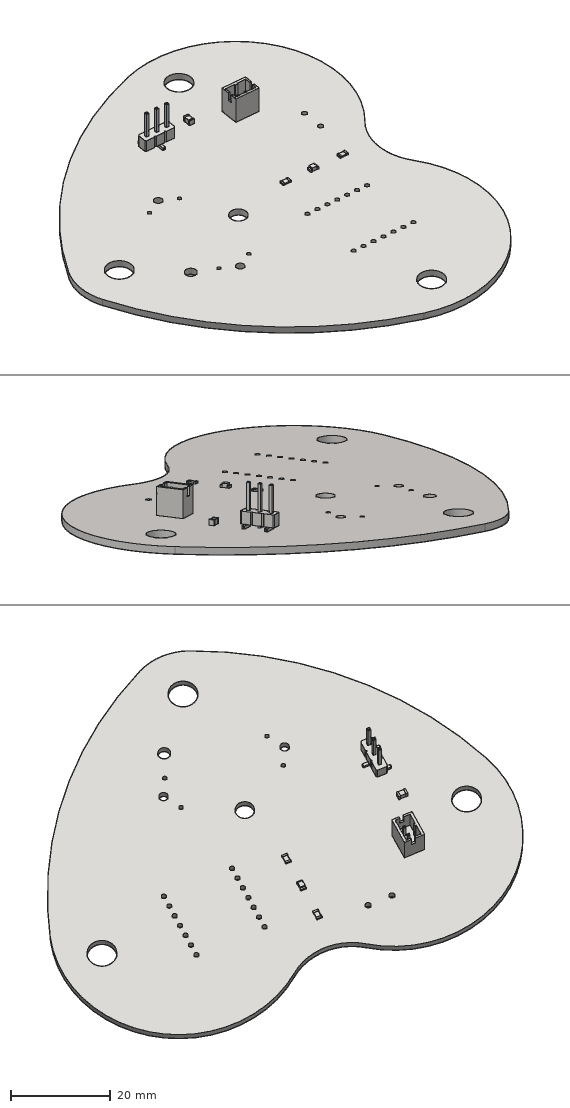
import cadquery as cq
import math

board_thickness = 1.6
board_width = 100.2
board_length = 84.2
lobe_radius = 26.1
corner_radius = lobe_radius / 2
side_radius = 83.0
lobe_x = board_width / 2 - lobe_radius
lobe_y = board_length / 2 - lobe_radius

mount_hole_diameter = 6.0
mount_holes = [(-41.0, 14.6), (41.0, 15.6), (0.0, -32.3)]
centre_hole_diameter = 3.9
centre_hole = (0.5, -2.3)

lead_hole_diameter = 1.2
lead_hole_y = 28.6
lead_hole_xs = (-17.6, -12.3)

dip_hole_diameter = 1.0
dip_pins_per_row = 7
dip_pitch = 2.54
dip_row_xs = (8.7, 24.0)
dip_centre_y = 16.5

switch_x = 0.4
switch_y = -12.2
switch_post_diameter = 1.9
switch_post_spacing = 27.1
switch_lead_diameter = 0.85
switch_lead_span_x = 22.9
switch_lead_span_y = 7.6
switch_peg_diameter = 2.6
switch_peg = (9.4, -21.4)

connector_x = -26.0
connector_y = 18.7
connector_width = 4.5
connector_length = 5.9
connector_height = 6.0
connector_side_wall = 0.6
connector_end_wall = 0.4
connector_floor = 1.7
slot_width = 0.9
slot_depth = 1.9
slot_x = connector_x + 0.2
key_width = 0.6
key_thickness = 0.3

contact_x = connector_x + 0.4
contact_kink = 0.3
contact_pitch = 2.0
contact_size = 0.5
contact_hole_diameter = 0.75
contact_top = 5.0
contact_drop = 1.8
contact_tip_chamfer = 0.2
contact_kink_end = -0.9

header_x = -27.9
header_y = -1.2
header_pins = 3
header_pitch = 2.54
header_chamfer = 0.25
header_body_height = 2.7
header_pin_size = 0.64
header_pin_top = 9.3
header_pin_chamfer = 0.15
header_foot_reach = 2.6

chip_length = 2.0
chip_width = 1.2
resistor_height = 0.4
led_height = 0.9
terminal_length = 0.4
terminal_step = 0.06
led_terminal_height = 0.5
capacitor_height = 1.2
chip_x = -2.1
led_y = 18.7
resistor_ys = (26.3, 11.7)
capacitor_x = -29.6
capacitor_y = 8.3


def toward(start, end, distance):
    """Point at a distance from start on the line toward end."""
    span = math.dist(start, end)
    return tuple(s + (e - s) * distance / span for s, e in zip(start, end))


def mirrored(point):
    return (-point[0], point[1])


def heart_outline():
    """Heart of tangent arcs: two lobes, the notch, two long sides and the tip."""
    lobe = (lobe_x, lobe_y)
    notch_rise = math.sqrt((lobe_radius + corner_radius) ** 2 - lobe_x ** 2)
    notch = (0, lobe_y + notch_rise)
    tip = (0, corner_radius - board_length / 2)

    lobe_gap = side_radius - lobe_radius
    tip_gap = side_radius - corner_radius
    span = math.dist(lobe, tip)
    along = (lobe_gap ** 2 - tip_gap ** 2 + span ** 2) / (2 * span)
    across = math.sqrt(lobe_gap ** 2 - along ** 2)
    ux = (tip[0] - lobe[0]) / span
    uy = (tip[1] - lobe[1]) / span
    side = (lobe[0] + along * ux + across * uy, lobe[1] + along * uy - across * ux)

    notch_end = toward(lobe, notch, lobe_radius)
    side_top = toward(side, lobe, side_radius)
    side_bottom = toward(side, tip, side_radius)
    side_middle = toward(side, ((side_top[0] + side_bottom[0]) / 2, (side_top[1] + side_bottom[1]) / 2),
                         side_radius)
    diagonal = lobe_radius / math.sqrt(2)
    lobe_middle = (lobe_x + diagonal, lobe_y + diagonal)
    return (
        cq.Workplane("XY")
        .moveTo(*mirrored(notch_end))
        .threePointArc((0, notch[1] - corner_radius), notch_end)
        .threePointArc(lobe_middle, side_top)
        .threePointArc(side_middle, side_bottom)
        .threePointArc((0, -board_length / 2), mirrored(side_bottom))
        .threePointArc(mirrored(side_middle), mirrored(side_top))
        .threePointArc(mirrored(lobe_middle), mirrored(notch_end))
        .close()
    )


def contact_places(shift=0):
    return [(contact_x + shift, connector_y + side * contact_pitch / 2) for side in (-1, 1)]


def drill(body, places, diameter):
    cutter = cq.Workplane("XY").pushPoints(places).circle(diameter / 2).extrude(board_thickness)
    return body.cut(cutter)


def make_board():
    dip_ys = [dip_centre_y + (i - (dip_pins_per_row - 1) / 2) * dip_pitch for i in range(dip_pins_per_row)]
    switch_posts = [(switch_x + side * switch_post_spacing / 2, switch_y) for side in (-1, 1)]
    switch_leads = [
        (switch_x + i * switch_lead_span_x / 2, switch_y + j * switch_lead_span_y / 2)
        for i in (-1, 1)
        for j in (-1, 1)
    ]
    board = heart_outline().extrude(board_thickness)
    board = drill(board, mount_holes, mount_hole_diameter)
    board = drill(board, [centre_hole], centre_hole_diameter)
    board = drill(board, [(x, lead_hole_y) for x in lead_hole_xs], lead_hole_diameter)
    board = drill(board, [(x, y) for x in dip_row_xs for y in dip_ys], dip_hole_diameter)
    board = drill(board, switch_posts, switch_post_diameter)
    board = drill(board, switch_leads, switch_lead_diameter)
    board = drill(board, [switch_peg], switch_peg_diameter)
    return drill(board, contact_places(contact_kink), contact_hole_diameter)


def box_at(x, y, z, length_x, length_y, height):
    """Box centred on (x, y), standing on height z."""
    return cq.Workplane("XY").box(length_x, length_y, height, centered=(True, True, False)).translate((x, y, z))


def make_contact(x, y):
    """Square contact, stepped sideways in the board and back near its tip, tapered at both ends."""
    half = contact_size / 2
    levels = [
        (0, board_thickness + contact_top),
        (0, board_thickness),
        (contact_kink, board_thickness),
        (contact_kink, contact_kink_end),
        (0, contact_kink_end - contact_kink),
        (0, -contact_drop),
    ]
    left_side = [(x + shift - half, z) for shift, z in levels]
    right_side = [(x + shift + half, z) for shift, z in reversed(levels)]
    contact = cq.Workplane("XZ", origin=(0, y + half, 0)).polyline(left_side + right_side).close()
    return contact.extrude(contact_size).faces("<Z or >Z").chamfer(contact_tip_chamfer)


def make_connector():
    top = board_thickness + connector_height
    body = box_at(connector_x, connector_y, board_thickness, connector_width, connector_length, connector_height)
    cavity = box_at(
        connector_x,
        connector_y,
        board_thickness + connector_floor,
        connector_width - 2 * connector_side_wall,
        connector_length - 2 * connector_end_wall,
        connector_height,
    )
    slots = box_at(slot_x, connector_y, top - slot_depth, slot_width, connector_length, slot_depth)
    key_x = connector_x - connector_width / 2 + connector_side_wall + key_thickness / 2
    key = box_at(key_x, connector_y, board_thickness, key_thickness, key_width, connector_height)
    connector = body.cut(cavity).cut(slots).union(key)
    for x, y in contact_places():
        connector = connector.union(make_contact(x, y))
    return connector


def make_header():
    """Surface-mount pin header: chamfered body segments, pins and alternating feet."""
    header = None
    for i in range(header_pins):
        y = header_y + ((header_pins - 1) / 2 - i) * header_pitch
        foot_side = 1 if i % 2 else -1
        segment = box_at(
            header_x, y, board_thickness + header_pin_size, header_pitch, header_pitch, header_body_height
        ).edges("|Z").chamfer(header_chamfer)
        pin = box_at(
            header_x, y, board_thickness, header_pin_size, header_pin_size, header_pin_top
        ).faces(">Z").chamfer(header_pin_chamfer)
        foot = box_at(
            header_x + foot_side * header_foot_reach / 2, y, board_thickness,
            header_foot_reach, header_pin_size, header_pin_size,
        ).faces(">X" if foot_side > 0 else "<X").chamfer(header_pin_chamfer)
        piece = segment.union(pin).union(foot)
        header = piece if header is None else header.union(piece)
    return header


def make_chip(x, y, body_height, terminal_height):
    """Chip lying along Y with a terminal at each end."""
    body_width = chip_width - 2 * terminal_step
    body_length = chip_length - 2 * terminal_length
    chip = box_at(x, y, board_thickness, body_width, body_length, body_height)
    for side in (-1, 1):
        terminal_y = y + side * (chip_length - terminal_length) / 2
        chip = chip.union(box_at(x, terminal_y, board_thickness, chip_width, terminal_length, terminal_height))
    return chip


def make_resistor(y):
    return make_chip(chip_x, y, resistor_height - terminal_step, resistor_height)


def make_led():
    return make_chip(chip_x, led_y, led_height, led_terminal_height)


def make_capacitor():
    """Capacitor chip lying along X."""
    chip = make_chip(0, 0, capacitor_height - terminal_step, capacitor_height)
    return chip.rotate((0, 0, 0), (0, 0, 1), 90).translate((capacitor_x, capacitor_y, 0))


board = make_board()
connector = make_connector()
header = make_header()
resistors = [make_resistor(y) for y in resistor_ys]
led = make_led()
capacitor = make_capacitor()

result = cq.Compound.makeCompound(
    [board.val(), connector.val(), header.val(), *[r.val() for r in resistors], led.val(), capacitor.val()]
)